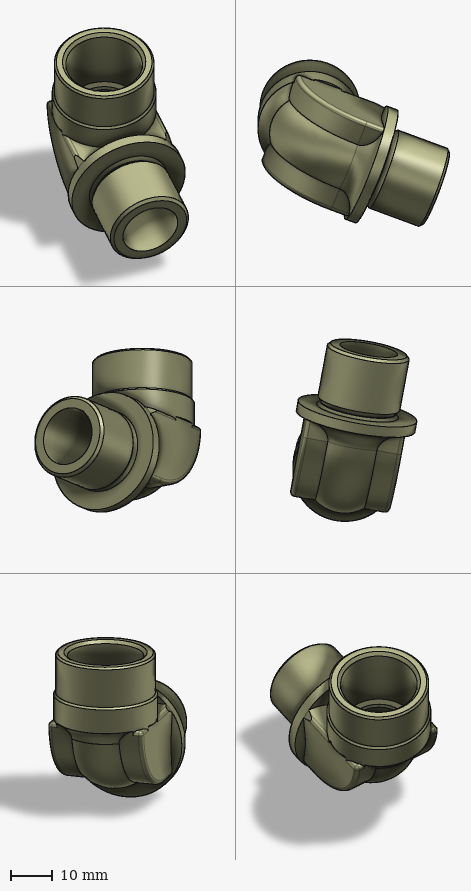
import cadquery as cq
import math


bend_radius = 10.0
tube_radius = 10.0
bore_radius = 7.0

block_half_width = 12.0
block_bottom = 8.0
block_edge_radius = 1.0
block_back_radius = bend_radius + block_bottom

collar_radius = 12.5
collar_top = 16.5
socket_radius = 12.0
socket_top = 26.5
socket_chamfer = 0.5
counterbore_radius = 9.2
counterbore_mouth_chamfer = 0.8
bore_mouth_chamfer = 0.5
counterbore_floor = bend_radius + bore_mouth_chamfer
collar_flare_radius = 5.0
collar_flare_start = 6.4
collar_flare_sweep = 120.0

flange_radius = 14.5
flange_face = 14.5
flange_back = 17.1
flange_flare_radius = flange_face - bend_radius
corner_trim_angle = 14.0

spigot_radius = 10.0
spigot_end = 32.4
spigot_chamfer = 0.7
groove_radius = 9.1
groove_floor_start = 17.75
groove_floor_end = 17.9
groove_end = 19.0


def revolve_about_x(profile):
    """Turn a closed profile of (x, radius) about the X axis."""
    return profile.close().revolve(360, (0, 0, 0), (1, 0, 0))


def vertical_cylinder(radius, bottom, top):
    return cq.Workplane("XY").workplane(offset=bottom).circle(radius).extrude(top - bottom)


def plain_block():
    """Block with a quarter-round back, reaching from the elbow back to the flange."""
    diagonal = block_back_radius * math.sqrt(0.5)
    return (
        cq.Workplane("XZ")
        .moveTo(bend_radius - block_back_radius, bend_radius)
        .threePointArc((bend_radius - diagonal, bend_radius - diagonal), (bend_radius, -block_bottom))
        .lineTo(flange_face, -block_bottom)
        .lineTo(flange_face, bend_radius)
        .close()
        .extrude(block_half_width, both=True)
    )


def corner_trim_cone():
    """Cone about X that narrows to the flange rim and trims the block corners beside it."""
    back = bend_radius - block_back_radius
    back_radius = flange_radius + (flange_face - back) * math.tan(math.radians(corner_trim_angle))
    return revolve_about_x(
        cq.Workplane("XY")
        .moveTo(back, 0)
        .lineTo(back, back_radius)
        .lineTo(flange_face, flange_radius)
        .lineTo(flange_face, 0)
    )


def body_block():
    """Block with rounded side and top edges, left sharp under the collar."""
    sharp = plain_block()
    back_edge = sharp.edges("|Y").edges("<X")
    rounded = sharp.faces("<Y or >Y").edges("not >X").add(back_edge).fillet(block_edge_radius)
    edge_waste = sharp.cut(rounded)
    collar_shadow = vertical_cylinder(collar_radius, bend_radius - 2 * block_edge_radius, bend_radius)
    return sharp.cut(edge_waste.cut(collar_shadow)).intersect(corner_trim_cone())


def elbow_back():
    """Outer half of the bent tube; its inner half lies inside the block."""
    return (
        cq.Workplane("XY", origin=(0, 0, bend_radius))
        .moveTo(0, -tube_radius)
        .threePointArc((-tube_radius, 0), (0, tube_radius))
        .close()
        .revolve(90, (bend_radius, 1, 0), (bend_radius, 0, 0))
    )


def collar_flare():
    """Concave flare that leaves the elbow along its slope and widens to the collar.

    It starts at the radius, about Z, where the tube comes out of the block's rounded back.
    """
    drop = bend_radius - collar_flare_start
    tilt = math.asin(drop / (bend_radius + tube_radius))
    junction_half_width = math.sqrt(tube_radius**2 - (block_back_radius - bend_radius) ** 2)
    junction_reach = math.sqrt(block_back_radius**2 - drop**2) - bend_radius
    start_radius = math.hypot(junction_reach, junction_half_width)
    center_radius = start_radius + collar_flare_radius * math.cos(tilt)
    center_height = collar_flare_start - collar_flare_radius * math.sin(tilt)
    end_angle = math.acos((center_radius - collar_radius) / collar_flare_radius)
    end_height = center_height + collar_flare_radius * math.sin(end_angle)
    middle_angle = (tilt + end_angle) / 2
    middle = (
        center_radius - collar_flare_radius * math.cos(middle_angle),
        center_height + collar_flare_radius * math.sin(middle_angle),
    )
    return (
        cq.Workplane("XZ")
        .moveTo(0, 0)
        .lineTo(start_radius, collar_flare_start)
        .threePointArc(middle, (collar_radius, end_height))
        .lineTo(0, end_height)
        .close()
        .revolve(collar_flare_sweep, (0, 0, 0), (0, 1, 0))
        .rotate((0, 0, 0), (0, 0, 1), 180 - collar_flare_sweep / 2)
    )


def socket():
    collar = vertical_cylinder(collar_radius, bend_radius, collar_top).faces(">Z").chamfer(socket_chamfer)
    sleeve = vertical_cylinder(socket_radius, bend_radius, socket_top).faces(">Z").chamfer(socket_chamfer)
    return collar.union(sleeve)


def flange_and_spigot():
    """Flare, flange, undercut groove and chamfered spigot as one turned piece."""
    bulge = flange_flare_radius * math.sqrt(0.5)
    flare_middle = (bend_radius + bulge, tube_radius + flange_flare_radius - bulge)
    return revolve_about_x(
        cq.Workplane("XY")
        .moveTo(bend_radius, 0)
        .lineTo(bend_radius, tube_radius)
        .threePointArc(flare_middle, (flange_face, tube_radius + flange_flare_radius))
        .lineTo(flange_back, flange_radius)
        .lineTo(flange_back, spigot_radius)
        .lineTo(groove_floor_start, groove_radius)
        .lineTo(groove_floor_end, groove_radius)
        .lineTo(groove_end, spigot_radius)
        .lineTo(spigot_end - spigot_chamfer, spigot_radius)
        .lineTo(spigot_end, spigot_radius - spigot_chamfer)
        .lineTo(spigot_end, 0)
    )


def socket_cavity():
    """Counterbore with chamfered mouth, and the chamfered step down to the bore."""
    mouth_radius = counterbore_radius + counterbore_mouth_chamfer
    return (
        cq.Workplane("XZ")
        .moveTo(0, bend_radius)
        .lineTo(bore_radius, bend_radius)
        .lineTo(bore_radius + bore_mouth_chamfer, counterbore_floor)
        .lineTo(counterbore_radius, counterbore_floor)
        .lineTo(counterbore_radius, socket_top - counterbore_mouth_chamfer)
        .lineTo(mouth_radius, socket_top)
        .lineTo(0, socket_top)
        .close()
        .revolve(360, (0, 0, 0), (0, 1, 0))
    )


def bent_bore():
    """Round bore that turns from the socket to the open end of the spigot."""
    bend = (
        cq.Workplane("XY", origin=(0, 0, bend_radius))
        .circle(bore_radius)
        .revolve(90, (bend_radius, 1, 0), (bend_radius, 0, 0))
    )
    straight = (
        cq.Workplane("YZ", origin=(bend_radius, 0, 0))
        .circle(bore_radius)
        .extrude(spigot_end - bend_radius)
    )
    return bend.union(straight)


elbow = elbow_back().union(collar_flare())
outside = body_block().union(elbow).union(flange_and_spigot()).union(socket())
result = outside.cut(socket_cavity()).cut(bent_bore())